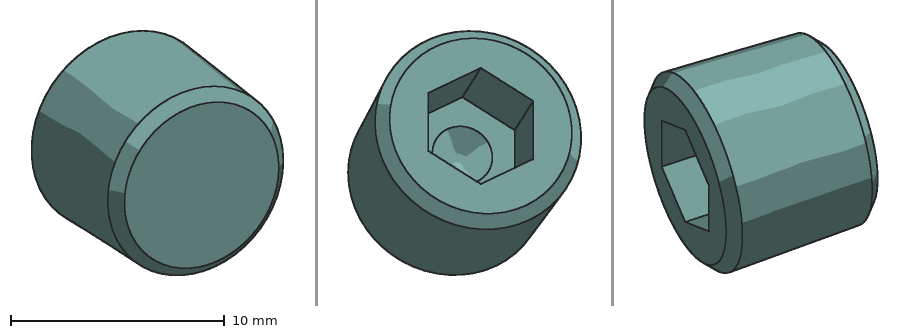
import cadquery as cq
import math

length = 8.0
wide_diameter = 9.88
taper = 1 / 16
chamfer = 0.57

socket_across_flats = 5.02
socket_depth = 4.0
drill_diameter = 2.88
drill_point_angle = 120.0

wide_radius = wide_diameter / 2
taper_length = length - 2 * chamfer
narrow_radius = wide_radius - taper * taper_length / 2
socket_across_corners = socket_across_flats / math.cos(math.radians(30))
drill_radius = drill_diameter / 2
drill_point_depth = drill_radius / math.tan(math.radians(drill_point_angle / 2))


def revolve_about_x(points):
    """Turn a closed half profile of (x, radius) points about the X axis."""
    return cq.Workplane("XY").polyline(points).close().revolve(360, (0, 0, 0), (1, 0, 0))


def make_body():
    """Tapered body with a 45 degree chamfer at each end."""
    half = length / 2
    return revolve_about_x([
        (-half, 0),
        (-half, wide_radius - chamfer),
        (-half + chamfer, wide_radius),
        (half - chamfer, narrow_radius),
        (half, narrow_radius - chamfer),
        (half, 0),
    ])


def make_socket():
    """Hexagon socket with two corners on the vertical axis."""
    return (
        cq.Workplane("YZ", origin=(-length / 2, 0, 0))
        .transformed(rotate=(0, 0, 90))
        .polygon(6, socket_across_corners)
        .extrude(socket_depth)
    )


def make_drill_point():
    """Conical recess left by the drill in the socket floor."""
    floor = -length / 2 + socket_depth
    return revolve_about_x([
        (floor, 0),
        (floor, drill_radius),
        (floor + drill_point_depth, 0),
    ])


result = make_body().cut(make_socket()).cut(make_drill_point())